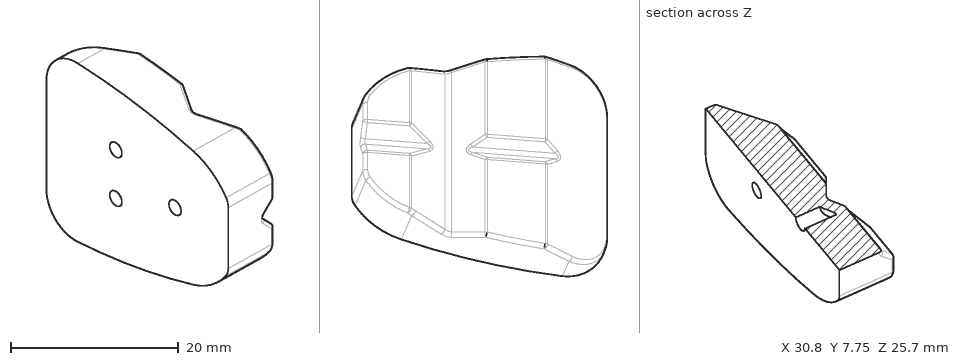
import cadquery as cq
import math

length = 30.75
half_height = 12.85
heel_radius = 5.0
flank_radius = 91.4
nose_radius = 10.0
nose_center_x = 22.1
nose_corner_radius = 2.2

heel_height = 1.36
plateau_height = 7.25
nose_height = 7.75
plateau_start = 8.5
valley_x = 20.0
valley_floor = 4.73
valley_slope = 0.6
valley_root_radius = 0.8
groove_floor = 5.8
groove_root_radius = 0.5
edge_radius = 0.5

hole_diameter = 2.05
plateau_holes = [(11.75, 3.5), (11.75, -3.5)]
nose_hole = (21.75, 0)
hole_wall = 1.6
floor_ridge_radius = 1.0

slab_length = 4.0
slab_width = 2.4

block_half_width = half_height + 2.0

tolerance = 0.01


def circle_crossing(center_a, radius_a, center_b, radius_b):
    """Of the two points where two circles cross, the one with the lower Z."""
    dx = center_b[0] - center_a[0]
    dz = center_b[1] - center_a[1]
    gap = math.hypot(dx, dz)
    along = (gap**2 + radius_a**2 - radius_b**2) / (2 * gap)
    across = math.sqrt(radius_a**2 - along**2)
    crossings = [
        (
            center_a[0] + (along * dx - side * across * dz) / gap,
            center_a[1] + (along * dz + side * across * dx) / gap,
        )
        for side in (1, -1)
    ]
    return min(crossings, key=lambda point: point[1])


def point_on_circle(center, radius, toward):
    """Point of a circle in the direction of another point."""
    dx = toward[0] - center[0]
    dz = toward[1] - center[1]
    gap = math.hypot(dx, dz)
    return (center[0] + radius * dx / gap, center[1] + radius * dz / gap)


def outline_prism():
    """Tapered outline: rounded heel, bowed flanks and a round nose cut off flat."""
    heel = (heel_radius, half_height - heel_radius)
    nose = (nose_center_x, 0)
    flank = circle_crossing(heel, flank_radius - heel_radius, nose, flank_radius - nose_radius)
    heel_end = point_on_circle(flank, flank_radius, heel)
    flank_end = point_on_circle(flank, flank_radius, nose)
    flank_mid_x = (heel_end[0] + flank_end[0]) / 2
    flank_mid = (flank_mid_x, flank[1] + math.sqrt(flank_radius**2 - (flank_mid_x - flank[0]) ** 2))
    heel_mid = point_on_circle(heel, heel_radius, (0, half_height))
    nose_end = (length, math.sqrt(nose_radius**2 - (length - nose_center_x) ** 2))
    chord_mid = ((flank_end[0] + nose_end[0]) / 2, (flank_end[1] + nose_end[1]) / 2)
    nose_mid = point_on_circle(nose, nose_radius, chord_mid)

    def mirrored(point):
        return (point[0], -point[1])

    outline = (
        cq.Workplane("XZ")
        .moveTo(0, heel[1])
        .threePointArc(heel_mid, heel_end)
        .threePointArc(flank_mid, flank_end)
        .threePointArc(nose_mid, nose_end)
        .lineTo(*mirrored(nose_end))
        .threePointArc(mirrored(nose_mid), mirrored(flank_end))
        .threePointArc(mirrored(flank_mid), mirrored(heel_end))
        .threePointArc(mirrored(heel_mid), (0, -heel[1]))
        .close()
    )
    prism = outline.extrude(-nose_height)
    return prism.faces(">X").edges("|Y").fillet(nose_corner_radius)


def relief_block(wall):
    """Wide block whose +Y side is the relief, moved inward by a wall thickness."""
    heel_slope = (plateau_height - heel_height) / plateau_start
    heel_y = heel_height - wall * math.hypot(1, heel_slope)
    plateau_y = plateau_height - wall
    nose_y = nose_height - wall
    valley_y = valley_floor - wall * math.hypot(1, valley_slope)
    block = (
        cq.Workplane("XY")
        .moveTo(0, heel_y)
        .lineTo((plateau_y - heel_y) / heel_slope, plateau_y)
        .lineTo(valley_x - (plateau_y - valley_y) / valley_slope, plateau_y)
        .lineTo(valley_x, valley_y)
        .lineTo(valley_x + (nose_y - valley_y) / valley_slope, nose_y)
        .lineTo(length, nose_y)
        .lineTo(length, 0)
        .lineTo(0, 0)
        .close()
        .extrude(block_half_width, both=True)
    )
    valley_root = cq.selectors.BoxSelector(
        (valley_x - tolerance, valley_y - tolerance, -tolerance),
        (valley_x + tolerance, valley_y + tolerance, tolerance),
    )
    block = block.edges(valley_root).fillet(valley_root_radius + wall)
    return block.cut(groove_cutter(wall))


def groove_cutter(wall):
    """Right-angled V running along X with a rounded root."""
    root_y = groove_floor - wall * math.sqrt(2)
    cutter = (
        cq.Workplane("YZ")
        .moveTo(root_y, 0)
        .lineTo(root_y + nose_height, nose_height)
        .lineTo(root_y + nose_height, -nose_height)
        .close()
        .extrude(length)
    )
    return cutter.edges("|X").edges("<Y").fillet(groove_root_radius + wall)


def pins(places):
    """Round bars rising from the flat back through the full thickness."""
    return cq.Workplane("XZ").pushPoints(places).circle(hole_diameter / 2).extrude(-nose_height)


def plateau_floor():
    """Block under the plateau, rounded where it drops into the groove."""
    plateau_y = plateau_height - hole_wall
    lip = cq.selectors.BoxSelector(
        (plateau_start, plateau_y - tolerance, -half_height),
        (valley_x, plateau_y + tolerance, half_height),
    )
    return relief_block(hole_wall).edges("|X").edges(lip).fillet(hole_wall)


def slope_floor():
    """Narrow block under the slope beside the valley, rounded where the slope meets the groove."""
    slab = cq.Workplane("XY").center(nose_hole[0], 0).rect(slab_length, 2 * nose_height)
    slab = slab.extrude(slab_width / 2, both=True)
    block = relief_block(hole_wall).intersect(slab)
    ridge = block.edges("%ELLIPSE")
    return ridge.fillet(floor_ridge_radius)


def hole_cutter():
    """Blind holes whose floors follow the relief one wall below it."""
    plateau_cut = pins(plateau_holes).intersect(plateau_floor())
    nose_cut = pins([nose_hole]).intersect(slope_floor())
    return plateau_cut.union(nose_cut)


def rounded_body():
    """Outline cut to the relief, with every edge of the +Y side rounded."""
    body = outline_prism().intersect(relief_block(0))
    relief_edges = [edge for edge in body.edges().vals() if edge.BoundingBox().ymin > tolerance]
    return body.newObject(relief_edges).fillet(edge_radius)


result = rounded_body().cut(hole_cutter())